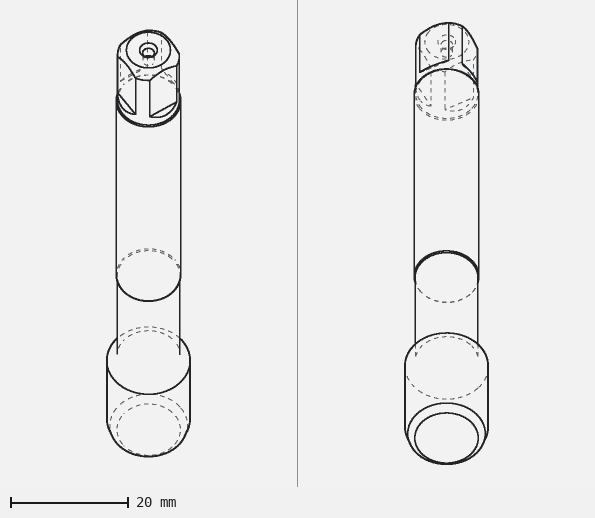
import cadquery as cq
import math

overall_length = 110.0
head_length = 20.0
tip_chamfer_height = 1.2
lead_top = 3.15
neck_top = 44.55
shank_top = 95.55
flats_bottom = 98.0

head_diameter = 14.21
lead_bottom_diameter = 13.2
neck_diameter = 10.7
shank_diameter = 11.0
drive_diameter = 10.56
end_face_diameter = 7.5

square_width = 9.0
ledge_angle = 45.0

centre_hole_diameter = 2.0
centre_hole_depth = 3.0
countersink_diameter = 3.0
countersink_angle = 60.0
drill_tip_angle = 120.0

shoulder_slope = 30.0
neck_fillet_radius = 1.2
neck_step_height = 0.3

head_radius = head_diameter / 2
lead_bottom_radius = lead_bottom_diameter / 2
neck_radius = neck_diameter / 2
shank_radius = shank_diameter / 2
drive_radius = drive_diameter / 2
end_face_radius = end_face_diameter / 2


def make_head():
    """Working head: a cylinder with a tapered lead and a 45 degree tip chamfer."""
    tip_radius = lead_bottom_radius - tip_chamfer_height
    return (
        cq.Workplane("XZ")
        .moveTo(0, 0)
        .lineTo(tip_radius, 0)
        .lineTo(lead_bottom_radius, tip_chamfer_height)
        .lineTo(head_radius, lead_top)
        .lineTo(head_radius, head_length)
        .lineTo(0, head_length)
        .close()
        .revolve(360, (0, 0, 0), (0, 1, 0))
    )


def make_shank_blank():
    """Turned shank: sloped shoulder, filleted neck, shank and stepped drive end."""
    slope = math.radians(shoulder_slope)

    fillet_centre_r = neck_radius + neck_fillet_radius
    fillet_start_r = fillet_centre_r - neck_fillet_radius * math.sin(slope)
    fillet_start_z = head_length + (head_radius - fillet_start_r) * math.tan(slope)
    fillet_end_z = fillet_start_z + neck_fillet_radius * math.cos(slope)
    middle = (math.pi / 2 - slope) / 2
    fillet_middle = (
        fillet_centre_r - neck_fillet_radius * math.cos(middle),
        fillet_end_z - neck_fillet_radius * math.sin(middle),
    )

    shank_chamfer = shank_radius - drive_radius
    end_chamfer = drive_radius - end_face_radius
    return (
        cq.Workplane("XZ")
        .moveTo(0, head_length)
        .lineTo(head_radius, head_length)
        .lineTo(fillet_start_r, fillet_start_z)
        .threePointArc(fillet_middle, (neck_radius, fillet_end_z))
        .lineTo(neck_radius, neck_top)
        .lineTo(shank_radius, neck_top + neck_step_height)
        .lineTo(shank_radius, shank_top - shank_chamfer)
        .lineTo(drive_radius, shank_top)
        .lineTo(drive_radius, overall_length - end_chamfer)
        .lineTo(end_face_radius, overall_length)
        .lineTo(0, overall_length)
        .close()
        .revolve(360, (0, 0, 0), (0, 1, 0))
    )


def make_flat_cutter():
    """Cutter for one flat of the square, with a ledge that slopes down and outward."""
    half_width = square_width / 2
    cutter_reach = head_radius
    ledge_drop = (cutter_reach - half_width) * math.tan(math.radians(ledge_angle))
    return (
        cq.Workplane("XZ")
        .moveTo(half_width, flats_bottom)
        .lineTo(cutter_reach, flats_bottom - ledge_drop)
        .lineTo(cutter_reach, overall_length)
        .lineTo(half_width, overall_length)
        .close()
        .extrude(head_radius, both=True)
    )


def make_centre_hole():
    """Countersunk centre hole with a conical drill tip."""
    hole_radius = centre_hole_diameter / 2
    sink_radius = countersink_diameter / 2
    sink_depth = (sink_radius - hole_radius) / math.tan(math.radians(countersink_angle / 2))
    tip_depth = hole_radius / math.tan(math.radians(drill_tip_angle / 2))
    hole_bottom = overall_length - centre_hole_depth
    return (
        cq.Workplane("XZ")
        .moveTo(0, overall_length)
        .lineTo(sink_radius, overall_length)
        .lineTo(hole_radius, overall_length - sink_depth)
        .lineTo(hole_radius, hole_bottom)
        .lineTo(0, hole_bottom - tip_depth)
        .close()
        .revolve(360, (0, 0, 0), (0, 1, 0))
    )


def make_shank():
    """Complete shank with its driving square and centre hole."""
    shank = make_shank_blank()
    for side in range(4):
        shank = shank.cut(make_flat_cutter().rotate((0, 0, 0), (0, 0, 1), side * 90))
    return shank.cut(make_centre_hole())


head = make_head()
shank = make_shank()

result = cq.Compound.makeCompound([head.val(), shank.val()])